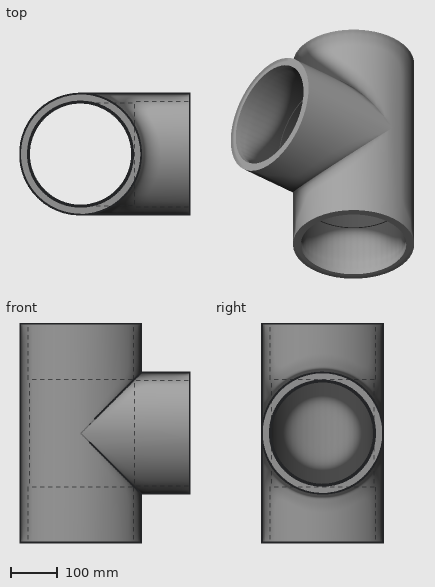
import cadquery as cq

run_length = 466.0
outer_diameter = 258.0
branch_reach = run_length / 2
socket_diameter = 224.5
bore_diameter = 219.0
socket_depth = 119.0


def run_cylinder(diameter):
    """Cylinder along the full vertical run, centred on the origin."""
    return cq.Workplane("XY").circle(diameter / 2).extrude(run_length / 2, both=True)


def branch_cylinder(diameter):
    """Cylinder from the run axis to the branch end face."""
    return cq.Workplane("YZ").circle(diameter / 2).extrude(branch_reach)


def socket(plane, end_distance):
    """Socket cutter reaching inward from an end face at end_distance along the plane normal."""
    return (
        cq.Workplane(plane)
        .workplane(offset=end_distance)
        .circle(socket_diameter / 2)
        .extrude(-socket_depth if end_distance > 0 else socket_depth)
    )


body = run_cylinder(outer_diameter).union(branch_cylinder(outer_diameter))
passages = run_cylinder(bore_diameter).union(branch_cylinder(bore_diameter))
result = body.cut(passages)

socket_ends = [
    ("XY", run_length / 2),
    ("XY", -run_length / 2),
    ("YZ", branch_reach),
]
for plane, end_distance in socket_ends:
    result = result.cut(socket(plane, end_distance))